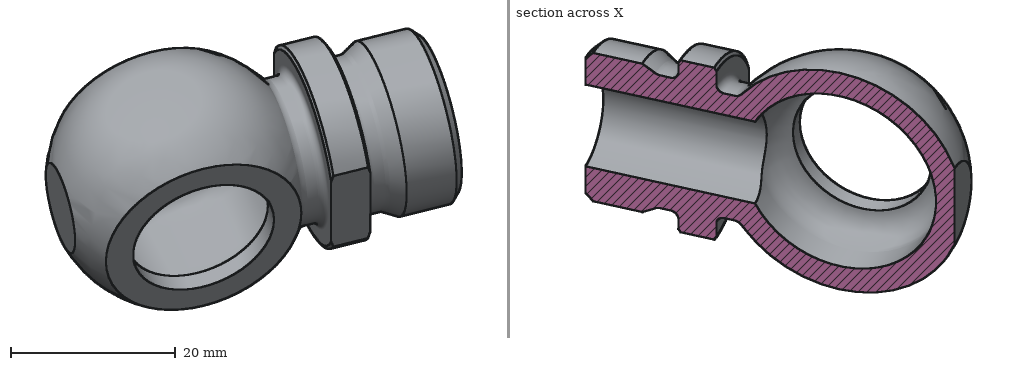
import cadquery as cq
import math

ball_diameter = 32.0
ball_radius = ball_diameter / 2
head_width = 20.0
end_flat_distance = 15.0
cross_hole_diameter = 18.0

undercut_diameter = 25.0
undercut_width = 15.35
undercut_corner_radius = 4.0

overall_length = 48.0
stem_end = overall_length - end_flat_distance
bore_diameter = 12.0
thread_diameter = 22.0
thread_chamfer = 1.0
thread_length = 7.4
relief_diameter = 19.7
relief_angle = 30.0
neck_diameter = 18.5
neck_fillet = 1.0

collar_diameter = 25.5
collar_start = 16.0
collar_length = 5.0
collar_end = collar_start + collar_length
collar_across_flats = thread_diameter
collar_chamfer_length = 0.3
collar_chamfer_height = 0.5


def along_y(radius, start, end):
    """Solid cylinder about the Y axis."""
    return cq.Workplane("XZ", origin=(0, start, 0)).circle(radius).extrude(start - end)


def along_x(radius, length):
    """Solid cylinder about the X axis, centred on the origin."""
    return cq.Workplane("YZ").circle(radius).extrude(length / 2, both=True)


def make_stem():
    thread_radius = thread_diameter / 2
    relief_radius = relief_diameter / 2
    thread_start = stem_end - thread_length
    relief_end = thread_start - (thread_radius - relief_radius) / math.tan(math.radians(relief_angle))
    return (
        cq.Workplane("XY")
        .moveTo(0, 0)
        .lineTo(neck_diameter / 2, 0)
        .lineTo(neck_diameter / 2, collar_end)
        .lineTo(relief_radius, collar_end)
        .lineTo(relief_radius, relief_end)
        .lineTo(thread_radius, thread_start)
        .lineTo(thread_radius, stem_end - thread_chamfer)
        .lineTo(thread_radius - thread_chamfer, stem_end)
        .lineTo(0, stem_end)
        .close()
        .revolve(360, (0, 0, 0), (0, 1, 0))
    )


def make_collar():
    radius = collar_diameter / 2
    face_radius = radius - collar_chamfer_height
    return (
        cq.Workplane("XY")
        .moveTo(0, collar_start)
        .lineTo(face_radius, collar_start)
        .lineTo(radius, collar_start + collar_chamfer_length)
        .lineTo(radius, collar_end - collar_chamfer_length)
        .lineTo(face_radius, collar_end)
        .lineTo(0, collar_end)
        .close()
        .revolve(360, (0, 0, 0), (0, 1, 0))
        .intersect(cq.Workplane("XY").box(collar_across_flats, overall_length * 2, collar_diameter))
    )


def make_head():
    block_length = end_flat_distance + ball_radius
    block_center = (ball_radius - end_flat_distance) / 2
    block = cq.Workplane("XY").box(head_width, block_length, 2 * ball_radius)
    return cq.Workplane("XY").sphere(ball_radius).intersect(block.translate((0, block_center, 0)))


def fillet_stem_roots(body):
    """Round the foot of the relief cone, both collar roots and the neck where it meets the ball."""
    root_diameters = (neck_diameter, relief_diameter)

    def is_root(edge):
        if edge.geomType() != "CIRCLE":
            return False
        return any(math.isclose(2 * edge.radius(), d, abs_tol=0.005) for d in root_diameters)

    roots = [edge for edge in body.edges().vals() if is_root(edge)]
    return body.newObject(roots).fillet(neck_fillet)


def make_cross_hole():
    hole_radius = cross_hole_diameter / 2
    floor_radius = undercut_diameter / 2
    hole = along_x(hole_radius, head_width)
    undercut = along_x(floor_radius, undercut_width).faces("<X or >X").edges().fillet(undercut_corner_radius)
    return hole.union(undercut)


outer_body = make_head().union(make_stem()).union(make_collar())
outer_body = fillet_stem_roots(outer_body)
stem_bore = along_y(bore_diameter / 2, 0, stem_end)
result = outer_body.cut(make_cross_hole()).cut(stem_bore)